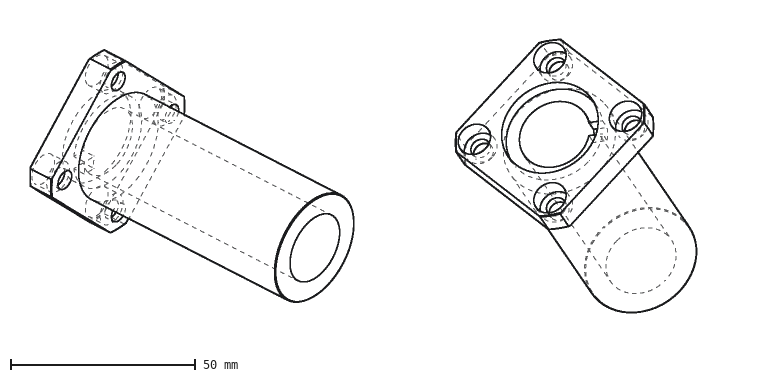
import cadquery as cq
import math

length = 80.0
flange_diameter = 54.0
flange_width = 42.0
flange_thickness = 8.0
sleeve_diameter = 32.0
edge_chamfer = 0.2

bore_diameter = 20.0
recess_diameter = 27.5
recess_depth = 4.0
slot_width = 4.0
slot_depth = 4.0

hole_circle_diameter = 43.0
hole_diameter = 5.5
counterbore_diameter = 9.2
counterbore_depth = 5.4
hole_count = 4


def rod(diameter, start, size, y=0.0, z=0.0):
    """Cylinder along X, starting at the given X position."""
    return cq.Workplane("YZ", origin=(start, y, z)).circle(diameter / 2).extrude(size)


flange_square = (
    cq.Workplane("YZ")
    .rect(flange_width, flange_width)
    .extrude(flange_thickness)
    .rotate((0, 0, 0), (1, 0, 0), 45)
)
flange_disc = rod(flange_diameter, 0, flange_thickness).edges("%CIRCLE").chamfer(edge_chamfer)
flange = flange_disc.intersect(flange_square)

sleeve = rod(sleeve_diameter, 0, length).faces(">X").edges().chamfer(edge_chamfer)
body = flange.union(sleeve)

body = body.cut(rod(bore_diameter, 0, length))
body = body.cut(rod(recess_diameter, 0, recess_depth))

slot_box = cq.Workplane("XY").box(
    slot_depth, recess_diameter / 2, slot_width, centered=(False, False, True)
).translate((recess_depth, -recess_diameter / 2, 0))
body = body.cut(slot_box.intersect(rod(recess_diameter, recess_depth, slot_depth)))

for index in range(hole_count):
    angle = index * 2 * math.pi / hole_count
    y = hole_circle_diameter / 2 * math.cos(angle)
    z = hole_circle_diameter / 2 * math.sin(angle)
    body = body.cut(rod(hole_diameter, 0, flange_thickness, y, z))
    body = body.cut(rod(counterbore_diameter, 0, counterbore_depth, y, z))

result = body